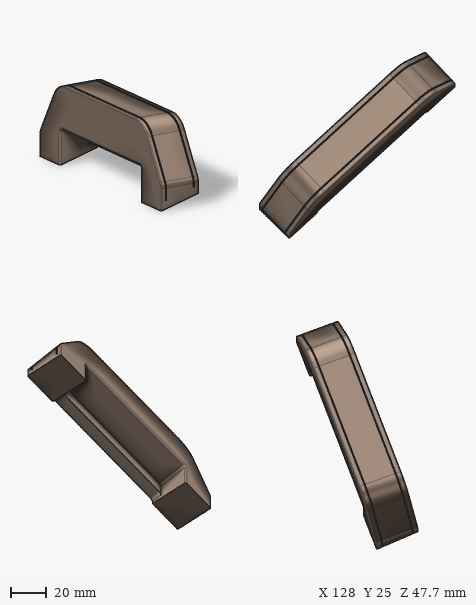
import cadquery as cq
import math

LENGTH = 128.0
WIDTH = 25.0
HEIGHT = 47.7

SHOULDER_HEIGHT = 15.0
SHOULDER_ANGLE = 30.0
TOP_RADIUS = 15.0
SHOULDER_RADIUS = 7.0
OUTER_EDGE_RADIUS = 0.5

BASE_ANGLE = 15.0

OPENING_LENGTH = 85.0
OPENING_HEIGHT = 21.6
OPENING_EDGE_RADIUS = 1.0
OPENING_CORNER_RADIUS = 1.7
LIP_HEIGHT = 11.0
LIP_CORNER_RADIUS = 2.3
LIP_THICKNESS = 6.4

GROOVE_WIDTH = 0.5
GROOVE_DEPTH = 0.4
GROOVE_SPACING = 18.5
GROOVE_END_GAP = 5.0

FRONT = -WIDTH / 2
BACK = WIDTH / 2
MARGIN = 6.4


def arch_outline(inset=0.0):
    """Closed outline of the arch in the XZ plane, moved inward by inset on its sides and top."""
    angle = math.radians(SHOULDER_ANGLE)
    half_length = LENGTH / 2 - inset
    top = HEIGHT - inset
    top_radius = TOP_RADIUS - inset
    shoulder_radius = SHOULDER_RADIUS - inset

    shoulder_x = LENGTH / 2 - SHOULDER_RADIUS
    shoulder_z = SHOULDER_HEIGHT - SHOULDER_RADIUS * math.tan(angle / 2)
    shoulder_run = (HEIGHT - SHOULDER_HEIGHT) * math.tan(angle)
    top_tangent = TOP_RADIUS * math.tan((math.pi / 2 - angle) / 2)
    crown_x = LENGTH / 2 - shoulder_run - top_tangent
    crown_z = HEIGHT - TOP_RADIUS

    def on_shoulder(turn):
        return (shoulder_x + shoulder_radius * math.cos(turn), shoulder_z + shoulder_radius * math.sin(turn))

    def on_crown(turn):
        return (crown_x + top_radius * math.cos(turn), crown_z + top_radius * math.sin(turn))

    def mirrored(point):
        return (-point[0], point[1])

    crown_middle = (angle + math.pi / 2) / 2
    return (
        cq.Workplane("XZ")
        .moveTo(half_length, 0)
        .lineTo(half_length, shoulder_z)
        .threePointArc(on_shoulder(angle / 2), on_shoulder(angle))
        .lineTo(*on_crown(angle))
        .threePointArc(on_crown(crown_middle), (crown_x, top))
        .lineTo(-crown_x, top)
        .threePointArc(mirrored(on_crown(crown_middle)), mirrored(on_crown(angle)))
        .lineTo(*mirrored(on_shoulder(angle)))
        .threePointArc(mirrored(on_shoulder(angle / 2)), (-half_length, shoulder_z))
        .lineTo(-half_length, 0)
        .close()
    )


def outer_body():
    """Solid arch with rounded front and back edges; its underside is still flat."""
    body = arch_outline().extrude(WIDTH / 2, both=True)
    rim = body.faces("<Y or >Y").edges("not <Z")
    return rim.fillet(OUTER_EDGE_RADIUS)


def above_base(gap=0.0):
    """Everything above the sloping base plane raised by gap."""
    rise = math.tan(math.radians(BASE_ANGLE))
    y_front = FRONT - MARGIN
    y_back = BACK + MARGIN
    top = HEIGHT + MARGIN
    side = [
        (y_front, gap - MARGIN * rise),
        (y_back, gap + (WIDTH + MARGIN) * rise),
        (y_back, top),
        (y_front, top),
    ]
    return cq.Workplane("YZ").polyline(side).close().extrude(LENGTH / 2 + MARGIN, both=True)


def opening(height, corner_radius, y_end):
    """Hand opening with round top corners, from the front face back to y_end."""
    return (
        cq.Workplane("XZ", origin=(0, FRONT, 0))
        .rect(OPENING_LENGTH, 2 * height)
        .extrude(FRONT - y_end)
        .edges("|Y")
        .fillet(corner_radius)
    )


def round_opening_edge(body):
    """Round the edge where the opening meets the front face."""
    reach = OPENING_LENGTH / 2 + OUTER_EDGE_RADIUS
    opening_edge = cq.selectors.BoxSelector(
        (-reach, FRONT - OUTER_EDGE_RADIUS, OUTER_EDGE_RADIUS),
        (reach, FRONT + OUTER_EDGE_RADIUS, OPENING_HEIGHT + OUTER_EDGE_RADIUS),
    )
    return body.edges(opening_edge).fillet(OPENING_EDGE_RADIUS)


def groove(y):
    """Thin band around the outside of the arch, centred on y."""
    outer = arch_outline().extrude(GROOVE_WIDTH / 2, both=True)
    inner = arch_outline(GROOVE_DEPTH).extrude(GROOVE_WIDTH / 2, both=True)
    band = outer.cut(inner).translate((0, y, 0))
    return band.intersect(above_base(GROOVE_END_GAP))


handle = outer_body()
handle = handle.cut(opening(OPENING_HEIGHT, OPENING_CORNER_RADIUS, BACK - LIP_THICKNESS))
handle = handle.cut(opening(LIP_HEIGHT, LIP_CORNER_RADIUS, BACK))
handle = round_opening_edge(handle)
handle = handle.intersect(above_base())
for groove_y in (-GROOVE_SPACING / 2, GROOVE_SPACING / 2):
    handle = handle.cut(groove(groove_y))

result = handle